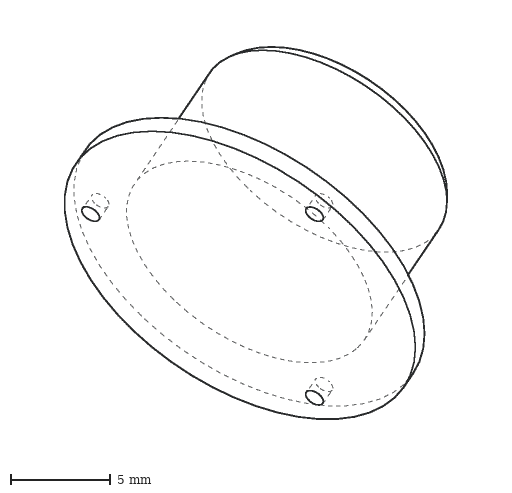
import cadquery as cq
import math

flange_diameter = 20.0
flange_thickness = 1.0

body_diameter = 14.0
total_length = 10.0

taper_angle = math.radians(26)
taper_inset = 0.44
taper_start = total_length - taper_inset / math.tan(taper_angle)
end_round_radius = 0.9

hole_diameter = 1.0
hole_circle_radius = 8.5
hole_count = 3
first_hole_angle = 180.0


def make_turned_body():
    """Revolve the half profile (radius along X, length along Y) about the Y axis."""
    flange_radius = flange_diameter / 2
    body_radius = body_diameter / 2

    arc_centre_y = total_length - end_round_radius
    cone_end_y = arc_centre_y + end_round_radius * math.sin(taper_angle)
    cone_end_radius = body_radius - (cone_end_y - taper_start) * math.tan(taper_angle)
    arc_centre_radius = cone_end_radius - end_round_radius * math.cos(taper_angle)

    arc_middle_angle = (taper_angle + math.pi / 2) / 2
    arc_middle = (
        arc_centre_radius + end_round_radius * math.cos(arc_middle_angle),
        arc_centre_y + end_round_radius * math.sin(arc_middle_angle),
    )

    profile = (
        cq.Workplane("XY")
        .moveTo(0, 0)
        .lineTo(flange_radius, 0)
        .lineTo(flange_radius, flange_thickness)
        .lineTo(body_radius, flange_thickness)
        .lineTo(body_radius, taper_start)
        .lineTo(cone_end_radius, cone_end_y)
        .threePointArc(arc_middle, (arc_centre_radius, total_length))
        .lineTo(0, total_length)
        .close()
    )
    return profile.revolve(360, (0, 0, 0), (0, 1, 0))


def make_flange_holes():
    """Equally spaced pins, as long as the flange is thick, to cut from it."""
    return (
        cq.Workplane("XZ")
        .polarArray(hole_circle_radius, first_hole_angle, 360, hole_count)
        .circle(hole_diameter / 2)
        .extrude(-flange_thickness)
    )


result = make_turned_body().cut(make_flange_holes())